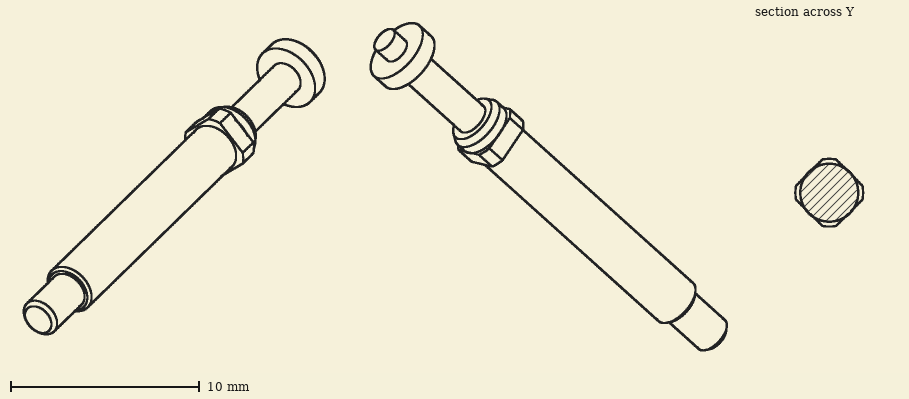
import cadquery as cq

total_length = 27.3

tip_diameter = 1.42
tip_length = 1.0
flange_diameter = 3.6
flange_thickness = 0.98
stem_diameter = 1.8
stem_length = 5.27

shoulder_diameter = 3.08
shoulder_length = 0.98
shoulder_cone_length = 0.4
shoulder_cone_inset = 0.22

collar_across_flats = 3.0
collar_diameter = flange_diameter
collar_thickness = 1.1
collar_turn = 45.0

barrel_diameter = 2.73
barrel_length = 14.93
barrel_chamfer = 0.16
tail_diameter = 2.07
tail_chamfer = 0.22

flange_front = total_length - tip_length
flange_rear = flange_front - flange_thickness
shoulder_front = flange_rear - stem_length
collar_front = shoulder_front - shoulder_length
collar_rear = collar_front - collar_thickness
barrel_rear = collar_rear - barrel_length


def section_at(y):
    """Workplane across the axis at position y, facing the tip."""
    return cq.Workplane("ZX", origin=(0, y, 0))


def cylinder(diameter, rear, front):
    """Cylinder about the Y axis between two positions on it."""
    return section_at(rear).circle(diameter / 2).extrude(front - rear)


def make_shoulder():
    cone_rear = shoulder_front - shoulder_cone_length
    outer_radius = shoulder_diameter / 2
    profile = (
        cq.Workplane("XY")
        .moveTo(0, collar_front)
        .lineTo(outer_radius, collar_front)
        .lineTo(outer_radius, cone_rear)
        .lineTo(outer_radius - shoulder_cone_inset, shoulder_front)
        .lineTo(0, shoulder_front)
        .close()
    )
    return profile.revolve(360, (0, 0, 0), (0, 1, 0))


def make_collar():
    square = (
        section_at(collar_rear)
        .transformed(rotate=(0, 0, collar_turn))
        .rect(collar_across_flats, collar_across_flats)
        .extrude(collar_thickness)
    )
    return square.intersect(cylinder(collar_diameter, collar_rear, collar_front))


tip = cylinder(tip_diameter, flange_front, total_length)
flange = cylinder(flange_diameter, flange_rear, flange_front)
stem = cylinder(stem_diameter, shoulder_front, flange_rear)
barrel = cylinder(barrel_diameter, barrel_rear, collar_rear).faces("<Y").chamfer(barrel_chamfer)
tail = cylinder(tail_diameter, 0, barrel_rear).faces("<Y").chamfer(tail_chamfer)

result = tip
for section in (flange, stem, make_shoulder(), make_collar(), barrel, tail):
    result = result.union(section)